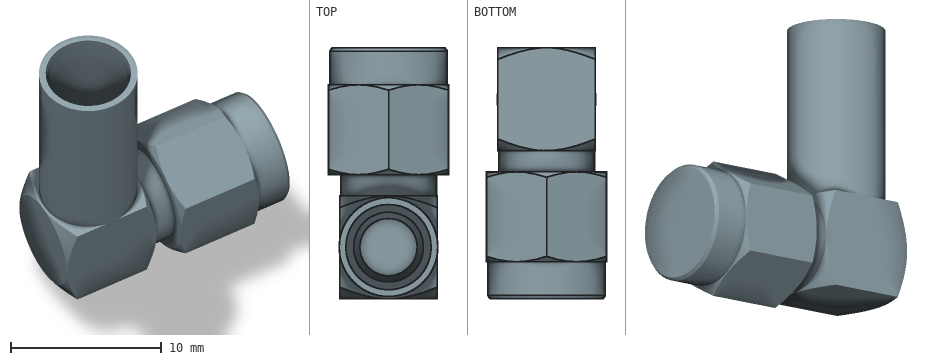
import cadquery as cq
import math

nut_flats = 7.98
nut_corners = nut_flats / math.cos(math.radians(30))
nut_length = 5.95

body_width = 6.5
body_length = 6.85
body_end_circle = 6.45
tube_axis_to_front = 3.45

neck_diameter = 6.38
neck_length = 1.4
collar_diameter = 7.82
collar_chamfer_length = 0.24
collar_chamfer_depth = 0.18

tube_diameter = 6.55
tube_bore = 5.66
boss_diameter = 4.63
boss_top_diameter = 3.8
boss_taper = 30

corner_angle = 30

overall_length = 16.7
overall_height = 19.8

body_front = -tube_axis_to_front
body_back = body_front + body_length
nut_front = body_back + neck_length
nut_back = nut_front + nut_length
collar_back = body_front + overall_length
body_top = body_width / 2
tube_top = overall_height - nut_corners / 2


def section_at(y):
    """Workplane facing +Y, with its origin on the nut axis."""
    return cq.Workplane("XZ", origin=(0, y, 0)).transformed(rotate=(180, 0, 0))


def cylinder_along_y(diameter, start, end):
    return section_at(start).circle(diameter / 2).extrude(end - start)


def turned_envelope(start, end, end_circle, corner_circle):
    """Cylinder through the prism corners, coned down to end_circle at both ends."""
    end_radius = end_circle / 2
    corner_radius = corner_circle / 2
    depth = (corner_radius - end_radius) * math.tan(math.radians(corner_angle))
    return (
        cq.Workplane("XY")
        .moveTo(0, start)
        .lineTo(end_radius, start)
        .lineTo(corner_radius, start + depth)
        .lineTo(corner_radius, end - depth)
        .lineTo(end_radius, end)
        .lineTo(0, end)
        .close()
        .revolve(360, (0, 0, 0), (0, 1, 0))
    )


def make_body():
    block = section_at(body_front).rect(body_width, body_width).extrude(body_length)
    corner_circle = body_width * math.sqrt(2)
    return block.intersect(turned_envelope(body_front, body_back, body_end_circle, corner_circle))


def make_nut():
    hexagon = (
        section_at(nut_front)
        .transformed(rotate=(0, 0, 90))
        .polygon(6, nut_corners)
        .extrude(nut_length)
    )
    return hexagon.intersect(turned_envelope(nut_front, nut_back, nut_flats, nut_corners))


def make_collar():
    radius = collar_diameter / 2
    return (
        cq.Workplane("XY")
        .moveTo(0, nut_back)
        .lineTo(radius, nut_back)
        .lineTo(radius, collar_back - collar_chamfer_length)
        .lineTo(radius - collar_chamfer_depth, collar_back)
        .lineTo(0, collar_back)
        .close()
        .revolve(360, (0, 0, 0), (0, 1, 0))
    )


def make_tube():
    return (
        cq.Workplane("XY", origin=(0, 0, body_top))
        .circle(tube_diameter / 2)
        .circle(tube_bore / 2)
        .extrude(tube_top - body_top)
    )


def make_boss():
    height = (boss_diameter - boss_top_diameter) / 2 / math.tan(math.radians(boss_taper))
    boss = cq.Workplane("XY", origin=(0, 0, body_top)).circle(boss_diameter / 2)
    return boss.extrude(height, taper=boss_taper)


neck = cylinder_along_y(neck_diameter, body_back, nut_front)
result = make_body()
for section in (neck, make_nut(), make_collar(), make_tube(), make_boss()):
    result = result.union(section)